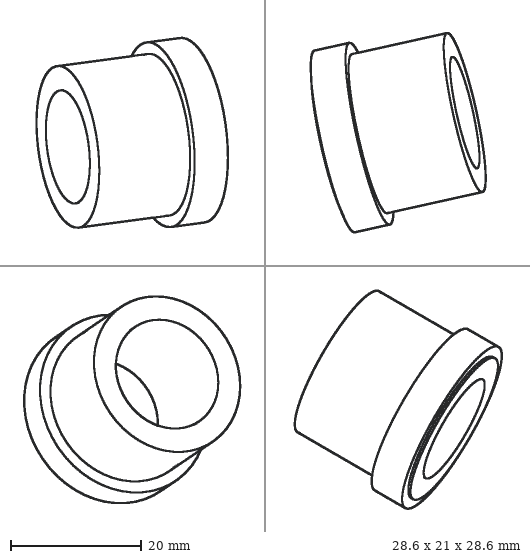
import cadquery as cq

flange_diameter = 28.57
body_diameter = 25.0
bore_diameter = 17.48
total_length = 21.03

flange_width = 5.55
rear_lip_length = 0.4
flange_start = total_length - rear_lip_length - flange_width


def cylinder_along_y(diameter, start, length):
    """Solid cylinder on the Y axis, growing from start toward +Y."""
    plane = cq.Workplane("XZ", origin=(0, start, 0))
    return plane.circle(diameter / 2).extrude(-length)


body = cylinder_along_y(body_diameter, 0, total_length)
flange = cylinder_along_y(flange_diameter, flange_start, flange_width)
bore = cylinder_along_y(bore_diameter, 0, total_length)

result = body.union(flange).cut(bore)